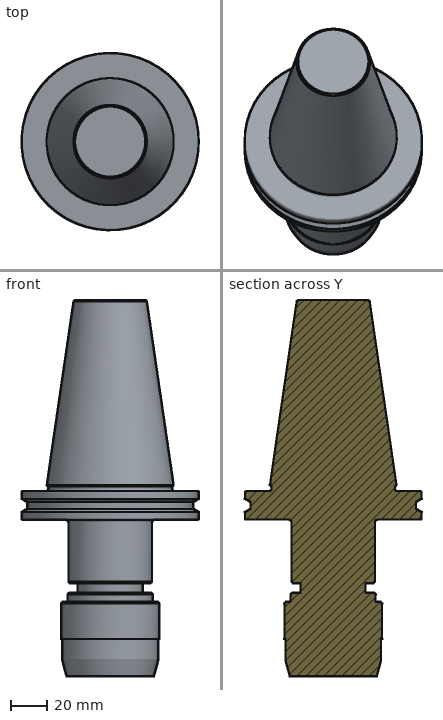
import cadquery as cq
import math


GAUGE_RADIUS = 69.85 / 2
TAPER_LENGTH = 101.75
TAPER_SLOPE = 7 / 24 / 2
TAPER_TOP_CHAMFER = 0.8

RELIEF_RADIUS = 34.2
RELIEF_TOP_Z = RELIEF_RADIUS - GAUGE_RADIUS
RELIEF_FILLET = 1.0

FLANGE_RADIUS = 97.5 / 2
FLANGE_TOP_Z = -3.2
FLANGE_BOTTOM_Z = -19.1
FLANGE_FILLET = 1.0
GROOVE_CENTRE_Z = -11.1
GROOVE_FLOOR_RADIUS = 45.7
GROOVE_FLOOR_WIDTH = 3.75
GROOVE_WALL_ANGLE = 30

SHANK_RADIUS = 23.0
SHANK_BOTTOM_Z = -54.0
SHANK_FILLET = 1.4
NECK_RADIUS = 18.0

COLLAR_RADIUS = 23.5
COLLAR_TOP_Z = -59.0
BODY_RADIUS = 27.0
BODY_TOP_Z = -64.0
SLEEVE_RADIUS = 26.5
SLEEVE_TOP_Z = -84.5
NOSE_TOP_Z = -95.7
NOSE_END_RADIUS = 24.0
NOSE_BULGE = 0.1
HOLDER_BOTTOM_Z = -105.0
EDGE_CHAMFER = 1.0


def cylinder(radius, bottom_z, top_z):
    return cq.Workplane("XY").workplane(offset=bottom_z).circle(radius).extrude(top_z - bottom_z)


def revolve_profile(profile):
    """Turn a closed (radius, height) outline about Z."""
    return profile.close().revolve(360, (0, 0, 0), (0, 1, 0))


def root_fillet(shaft_radius, flange_face_z, fillet_radius, direction):
    """Concave ring between a shaft and a flange face; direction is +1 upward, -1 downward."""
    away_z = flange_face_z + direction * fillet_radius
    middle_offset = fillet_radius * (1 - math.sqrt(0.5))
    profile = (
        cq.Workplane("XZ")
        .moveTo(0, flange_face_z)
        .lineTo(shaft_radius + fillet_radius, flange_face_z)
        .threePointArc(
            (shaft_radius + middle_offset, flange_face_z + direction * middle_offset),
            (shaft_radius, away_z),
        )
        .lineTo(0, away_z)
    )
    return revolve_profile(profile)


def make_taper():
    top_radius = GAUGE_RADIUS - TAPER_LENGTH * TAPER_SLOPE
    profile = (
        cq.Workplane("XZ")
        .moveTo(0, FLANGE_TOP_Z)
        .lineTo(RELIEF_RADIUS, FLANGE_TOP_Z)
        .lineTo(RELIEF_RADIUS, RELIEF_TOP_Z)
        .lineTo(GAUGE_RADIUS, 0)
        .lineTo(top_radius, TAPER_LENGTH)
        .lineTo(0, TAPER_LENGTH)
    )
    taper = revolve_profile(profile).faces(">Z").edges().chamfer(TAPER_TOP_CHAMFER)
    root = root_fillet(RELIEF_RADIUS, FLANGE_TOP_Z, RELIEF_FILLET, 1)
    return taper.union(root)


def make_groove_cutter():
    depth = FLANGE_RADIUS - GROOVE_FLOOR_RADIUS
    floor_half = GROOVE_FLOOR_WIDTH / 2
    mouth_half = floor_half + depth * math.tan(math.radians(GROOVE_WALL_ANGLE))
    profile = (
        cq.Workplane("XZ")
        .moveTo(GROOVE_FLOOR_RADIUS, GROOVE_CENTRE_Z - floor_half)
        .lineTo(FLANGE_RADIUS, GROOVE_CENTRE_Z - mouth_half)
        .lineTo(FLANGE_RADIUS, GROOVE_CENTRE_Z + mouth_half)
        .lineTo(GROOVE_FLOOR_RADIUS, GROOVE_CENTRE_Z + floor_half)
    )
    return revolve_profile(profile)


def make_flange():
    flange = cylinder(FLANGE_RADIUS, FLANGE_BOTTOM_Z, FLANGE_TOP_Z)
    return flange.edges("%CIRCLE").fillet(FLANGE_FILLET).cut(make_groove_cutter())


def make_shank():
    shank = cylinder(SHANK_RADIUS, SHANK_BOTTOM_Z, FLANGE_BOTTOM_Z).faces("<Z").edges().chamfer(EDGE_CHAMFER)
    root = root_fillet(SHANK_RADIUS, FLANGE_BOTTOM_Z, SHANK_FILLET, -1)
    neck = cylinder(NECK_RADIUS, COLLAR_TOP_Z, SHANK_BOTTOM_Z)
    return shank.union(root).union(neck)


def make_nose():
    middle_radius = (SLEEVE_RADIUS + NOSE_END_RADIUS) / 2 + NOSE_BULGE
    middle_z = (NOSE_TOP_Z + HOLDER_BOTTOM_Z) / 2
    profile = (
        cq.Workplane("XZ")
        .moveTo(0, NOSE_TOP_Z)
        .lineTo(SLEEVE_RADIUS, NOSE_TOP_Z)
        .threePointArc((middle_radius, middle_z), (NOSE_END_RADIUS, HOLDER_BOTTOM_Z))
        .lineTo(0, HOLDER_BOTTOM_Z)
    )
    return revolve_profile(profile)


def make_nut():
    collar = cylinder(COLLAR_RADIUS, BODY_TOP_Z, COLLAR_TOP_Z).faces(">Z").edges().chamfer(EDGE_CHAMFER)
    body = cylinder(BODY_RADIUS, SLEEVE_TOP_Z, BODY_TOP_Z).faces(">Z").edges().chamfer(EDGE_CHAMFER)
    sleeve = cylinder(SLEEVE_RADIUS, NOSE_TOP_Z, SLEEVE_TOP_Z)
    return collar.union(body).union(sleeve).union(make_nose())


result = make_taper().union(make_flange()).union(make_shank()).union(make_nut())